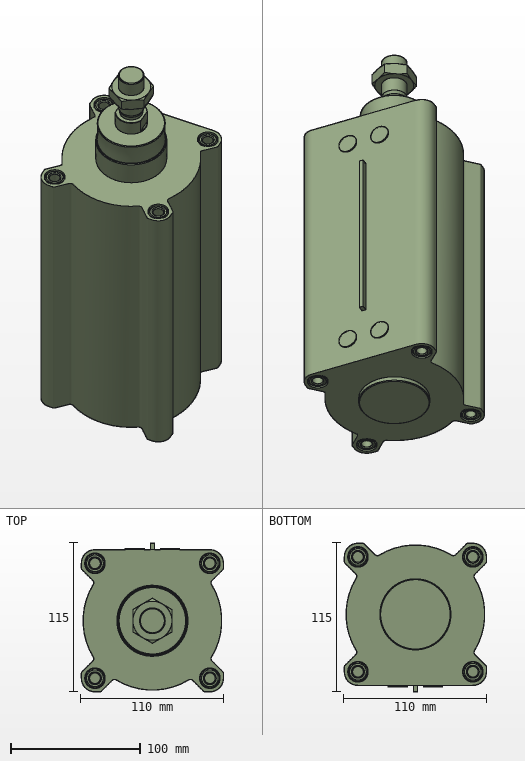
import cadquery as cq
import math


BARREL_WIDTH = 110.0
BARREL_LENGTH = 238.0
BODY_RADIUS = 53.7
BOLT_OFFSET = 44.5
INNER_FILLET = 2.5
BEND_FILLET = 1.5
HALF_WIDTH = BARREL_WIDTH / 2
LUG_RADIUS = HALF_WIDTH - BOLT_OFFSET

BOLT_BORE_DIAMETER = 16.0
BOLT_BORE_DEPTH = 3.3
BOLT_HEAD_DIAMETER = 15.0
BOLT_HEAD_SINK = 0.3
BOLT_HEAD_CHAMFER = 1.0
BOLT_HOLE_MOUTH_DIAMETER = 10.0
BOLT_HOLE_DIAMETER = 8.3
BOLT_HOLE_DEPTH = 16.5

BOSS_DIAMETER = 55.0
BOSS_HEIGHT = 4.0
BOSS_CHAMFER = 0.5
COLLAR_STEP_Z = 258.0
COLLAR_TOP_Z = 275.8
COLLAR_CHAMFER = 0.5
NECK_DIAMETER = 52.7
NECK_WAIST_DEPTH = 0.3

RAIL_WIDTH = 3.3
RAIL_TOP_Y = 60.0
RAIL_END_GAP = 47.7
CAP_DIAMETER = 15.0
CAP_HEIGHT = 1.0
CAP_OFFSET_X = 13.5
CAP_END_GAP = 24.0

TOTAL_LENGTH = 331.5
ROD_TOP_Z = TOTAL_LENGTH - BOSS_HEIGHT
ROD_DIAMETER = 25.0
ROD_BOTTOM_Z = BARREL_LENGTH
ROD_SHOULDER_Z = 287.7
ROD_CHAMFER = 0.3
FLATS_WIDTH = 22.0
FLATS_BOTTOM_Z = 276.8
THREAD_DIAMETER = 20.0
THREAD_BOTTOM_Z = 293.0
THREAD_CHAMFER = 0.5
UNDERCUT_DIAMETER = 18.0
UNDERCUT_TOP_Z = 290.5

NUT_FLATS = 30.2
NUT_HEIGHT = 10.0
NUT_BOTTOM_Z = 305.0
NUT_CHAMFER_ANGLE = 20.0


def cylinder(diameter, bottom, top):
    """Round bar on the Z axis between two heights."""
    return cq.Workplane("XY", origin=(0, 0, bottom)).circle(diameter / 2).extrude(top - bottom)


def corner_lug():
    """Lug of the +X +Y corner: a round tip with two tangent walls that turn in at 45 degrees to the body."""
    diagonal = LUG_RADIUS * math.sqrt(0.5)
    tip = BOLT_OFFSET + diagonal
    bend = BOLT_OFFSET - LUG_RADIUS * (math.sqrt(2) - 1)
    lug = (
        cq.Workplane("XY")
        .moveTo(HALF_WIDTH, bend)
        .lineTo(HALF_WIDTH, BOLT_OFFSET)
        .threePointArc((tip, tip), (BOLT_OFFSET, HALF_WIDTH))
        .lineTo(bend, HALF_WIDTH)
        .lineTo(-diagonal, diagonal)
        .lineTo(diagonal, -diagonal)
        .close()
        .extrude(BARREL_LENGTH)
    )
    for x, y in ((HALF_WIDTH, bend), (bend, HALF_WIDTH)):
        bend_edge = cq.selectors.NearestToPointSelector((x, y, BARREL_LENGTH / 2))
        lug = lug.edges(bend_edge).fillet(BEND_FILLET)
    return lug


def inner_corners():
    """Points on the six edges where lugs meet the round body; the +Y side has none because it is flat."""
    spread = math.degrees(math.asin(LUG_RADIUS / BODY_RADIUS))
    angles = [lug + side * spread for lug in (45, 135, 225, 315) for side in (-1, 1)]
    open_angles = [angle for angle in angles if not 45 < angle < 135]
    return [
        (
            BODY_RADIUS * math.cos(math.radians(angle)),
            BODY_RADIUS * math.sin(math.radians(angle)),
            BARREL_LENGTH / 2,
        )
        for angle in open_angles
    ]


def barrel():
    """Round body with four corner lugs and a flat +Y side."""
    body = cylinder(2 * BODY_RADIUS, 0, BARREL_LENGTH)
    for quarter in range(4):
        body = body.union(corner_lug().rotate((0, 0, 0), (0, 0, 1), 90 * quarter))
    flat_side = cq.Workplane("XY").box(
        2 * BOLT_OFFSET, 2 * LUG_RADIUS, BARREL_LENGTH, centered=(True, True, False)
    )
    body = body.union(flat_side.translate((0, BOLT_OFFSET, 0)))
    for corner in inner_corners():
        body = body.edges(cq.selectors.NearestToPointSelector(corner)).fillet(INNER_FILLET)
    return body


def rear_boss():
    """Centring boss below the barrel."""
    return cylinder(BOSS_DIAMETER, -BOSS_HEIGHT, 0).faces("<Z").edges().chamfer(BOSS_CHAMFER)


def front_collar():
    """Stepped collar on top of the barrel, with a slightly waisted neck."""
    step_radius = BOSS_DIAMETER / 2
    neck_radius = NECK_DIAMETER / 2
    waist = (neck_radius - NECK_WAIST_DEPTH, (COLLAR_STEP_Z + COLLAR_TOP_Z - COLLAR_CHAMFER) / 2)
    return (
        cq.Workplane("XZ")
        .moveTo(0, BARREL_LENGTH)
        .lineTo(step_radius, BARREL_LENGTH)
        .lineTo(step_radius, COLLAR_STEP_Z - COLLAR_CHAMFER)
        .lineTo(step_radius - COLLAR_CHAMFER, COLLAR_STEP_Z)
        .lineTo(neck_radius, COLLAR_STEP_Z)
        .threePointArc(waist, (neck_radius, COLLAR_TOP_Z - COLLAR_CHAMFER))
        .lineTo(neck_radius - COLLAR_CHAMFER, COLLAR_TOP_Z)
        .lineTo(0, COLLAR_TOP_Z)
        .close()
        .revolve(360, (0, 0, 0), (0, 1, 0))
    )


def rail():
    """Narrow rail along the middle of the flat side."""
    height = RAIL_TOP_Y - HALF_WIDTH
    return (
        cq.Workplane("XY")
        .box(RAIL_WIDTH, height, BARREL_LENGTH - 2 * RAIL_END_GAP)
        .translate((0, HALF_WIDTH + height / 2, BARREL_LENGTH / 2))
    )


def port_caps():
    """Four low round caps on the flat side, two near each end."""
    return (
        cq.Workplane("XZ", origin=(0, HALF_WIDTH, BARREL_LENGTH / 2))
        .rarray(2 * CAP_OFFSET_X, BARREL_LENGTH - 2 * CAP_END_GAP, 2, 2)
        .circle(CAP_DIAMETER / 2)
        .extrude(-CAP_HEIGHT)
    )


def bolt_recess():
    """Cutter for one top bolt, centred on Z: the space around and above its head, and its blind hole."""
    bore_radius = BOLT_BORE_DIAMETER / 2
    head_radius = BOLT_HEAD_DIAMETER / 2
    mouth_radius = BOLT_HOLE_MOUTH_DIAMETER / 2
    hole_radius = BOLT_HOLE_DIAMETER / 2
    bore_floor_z = BARREL_LENGTH - BOLT_BORE_DEPTH
    head_top_z = BARREL_LENGTH - BOLT_HEAD_SINK
    hole_floor_z = BARREL_LENGTH - BOLT_HOLE_DEPTH
    return (
        cq.Workplane("XZ")
        .moveTo(0, BARREL_LENGTH)
        .lineTo(bore_radius, BARREL_LENGTH)
        .lineTo(bore_radius, bore_floor_z)
        .lineTo(head_radius, bore_floor_z)
        .lineTo(head_radius, head_top_z - BOLT_HEAD_CHAMFER)
        .lineTo(head_radius - BOLT_HEAD_CHAMFER, head_top_z)
        .lineTo(mouth_radius, head_top_z)
        .lineTo(hole_radius, head_top_z - (mouth_radius - hole_radius))
        .lineTo(hole_radius, hole_floor_z)
        .lineTo(0, hole_floor_z)
        .close()
        .revolve(360, (0, 0, 0), (0, 1, 0))
    )


def make_housing():
    """Barrel, end collars and side fittings, with sunk bolt heads and the rod bore."""
    housing = barrel().union(rear_boss()).union(front_collar()).union(rail()).union(port_caps())
    top_recess = bolt_recess()
    bottom_recess = top_recess.mirror("XY", (0, 0, BARREL_LENGTH / 2))
    for x in (-BOLT_OFFSET, BOLT_OFFSET):
        for y in (-BOLT_OFFSET, BOLT_OFFSET):
            housing = housing.cut(top_recess.translate((x, y, 0)))
            housing = housing.cut(bottom_recess.translate((x, y, 0)))
    return housing.cut(cylinder(ROD_DIAMETER, ROD_BOTTOM_Z, COLLAR_TOP_Z))


def make_rod():
    """Piston rod with wrench flats across X, an undercut and a threaded end."""
    shank = cylinder(ROD_DIAMETER, ROD_BOTTOM_Z, ROD_SHOULDER_Z).faces(">Z").edges().chamfer(ROD_CHAMFER)
    flats_height = ROD_SHOULDER_Z - FLATS_BOTTOM_Z
    flats = (
        cq.Workplane("XY", origin=(0, 0, FLATS_BOTTOM_Z))
        .rarray(FLATS_WIDTH + ROD_DIAMETER, 3.3, 2, 1)
        .rect(ROD_DIAMETER, ROD_DIAMETER)
        .extrude(flats_height)
    )
    undercut = cylinder(UNDERCUT_DIAMETER, ROD_SHOULDER_Z, THREAD_BOTTOM_Z)
    thread = cylinder(THREAD_DIAMETER, UNDERCUT_TOP_Z, ROD_TOP_Z)
    thread = thread.faces(">Z").edges().chamfer(THREAD_CHAMFER)
    run_out = (THREAD_DIAMETER - UNDERCUT_DIAMETER) / 2
    thread = thread.faces("<Z").edges().chamfer(THREAD_BOTTOM_Z - UNDERCUT_TOP_Z, run_out)
    return shank.cut(flats).union(undercut).union(thread)


def make_nut():
    """Hex nut with flats across X and corners chamfered at both ends."""
    corners_diameter = NUT_FLATS / math.cos(math.radians(30))
    hexagon = (
        cq.Workplane("XY", origin=(0, 0, NUT_BOTTOM_Z))
        .transformed(rotate=(0, 0, 30))
        .polygon(6, corners_diameter)
        .extrude(NUT_HEIGHT)
    )
    corner_reach = (corners_diameter - NUT_FLATS) / 2
    chamfer_height = corner_reach * math.tan(math.radians(NUT_CHAMFER_ANGLE))
    nut_top_z = NUT_BOTTOM_Z + NUT_HEIGHT
    envelope = cylinder(corners_diameter, NUT_BOTTOM_Z, nut_top_z)
    envelope = envelope.faces("<Z or >Z").edges().chamfer(chamfer_height, corner_reach)
    return hexagon.intersect(envelope).cut(cylinder(THREAD_DIAMETER, NUT_BOTTOM_Z, nut_top_z))


housing = make_housing()
rod = make_rod()
nut = make_nut()

result = cq.Compound.makeCompound([housing.val(), rod.val(), nut.val()])